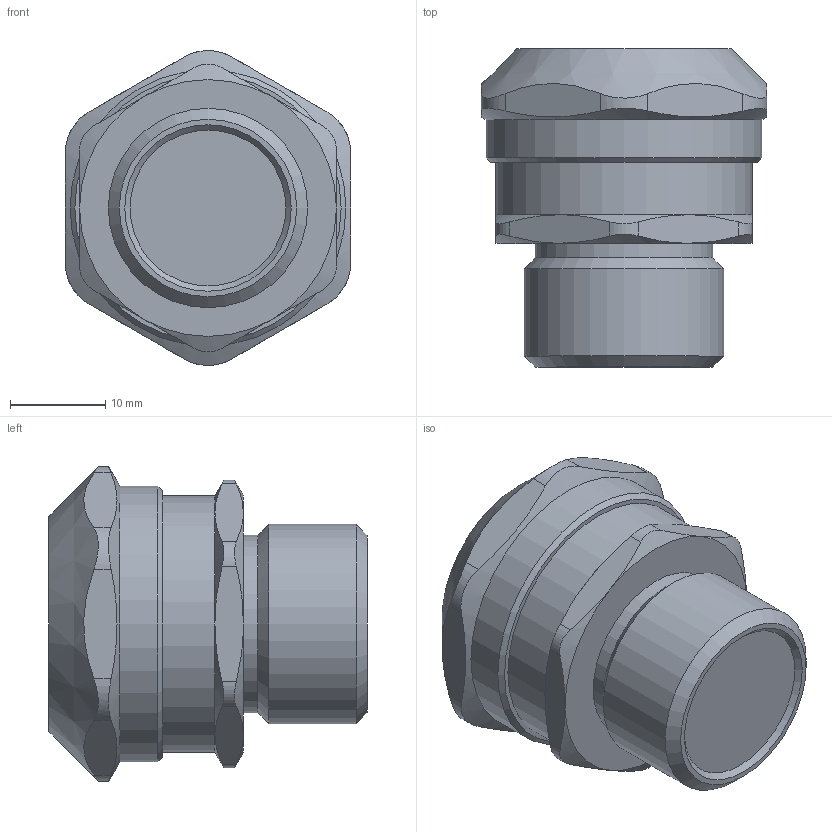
import cadquery as cq
import math


thread_radius = 20.95 / 2
thread_length = 13.0
undercut_radius = 18.64 / 2
undercut_length = 1.5
thread_chamfer = thread_radius - undercut_radius

body_hex_flats = 27.0
body_hex_length = 3.0
body_hex_corner_fillet = 3.0
body_radius = body_hex_flats / 2

collar_radius = 29.0 / 2
collar_start = 8.5
collar_chamfer = 0.5
cap_hex_flats = 30.0
cap_hex_start = 13.0
cap_hex_corner_fillet = 5.0
cap_end = 20.45
cap_end_radius = 11.35
cap_cone_angle = 45.0

hex_chamfer_angle = 30.0

front_recess_radius = 8.75
rear_bore_radius = 10.5
recess_depth = 0.55


def revolve_about_y(profile):
    """Turn a list of (radius, y) points into a solid around the Y axis."""
    return cq.Workplane("XY").polyline(profile).close().revolve(360, (0, 0, 0), (0, 1, 0))


def hex_corner_radius(flats):
    """Distance from the axis to a sharp corner of a hexagon."""
    return flats / math.sqrt(3)


def hex_prism(flats, corner_fillet, start, end):
    """Round-cornered hexagonal bar along Y with two of its flats facing +X and -X."""
    across_corners = 2 * hex_corner_radius(flats)
    return (
        cq.Workplane("XZ", origin=(0, end, 0))
        .transformed(rotate=(0, 0, 90))
        .polygon(6, across_corners)
        .extrude(end - start)
        .edges("|Y")
        .fillet(corner_fillet)
    )


def cone_rise(radial_distance, angle):
    """Axial length of a cone that widens by radial_distance, at an angle from the end plane."""
    return radial_distance * math.tan(math.radians(angle))


def make_spigot():
    return revolve_about_y([
        (0, -thread_length),
        (thread_radius - thread_chamfer, -thread_length),
        (thread_radius, -thread_length + thread_chamfer),
        (thread_radius, -undercut_length - thread_chamfer),
        (undercut_radius, -undercut_length),
        (undercut_radius, 0),
        (0, 0),
    ])


def make_body_hex():
    outer_radius = hex_corner_radius(body_hex_flats)
    rise = cone_rise(outer_radius - body_radius, hex_chamfer_angle)
    envelope = revolve_about_y([
        (0, 0),
        (body_radius, 0),
        (outer_radius, rise),
        (outer_radius, body_hex_length - rise),
        (body_radius, body_hex_length),
        (0, body_hex_length),
    ])
    return hex_prism(body_hex_flats, body_hex_corner_fillet, 0, body_hex_length).intersect(envelope)


def make_barrel():
    return revolve_about_y([
        (0, body_hex_length),
        (body_radius, body_hex_length),
        (body_radius, collar_start),
        (collar_radius - collar_chamfer, collar_start),
        (collar_radius, collar_start + collar_chamfer),
        (collar_radius, cap_hex_start),
        (0, cap_hex_start),
    ])


def make_cap():
    outer_radius = hex_corner_radius(cap_hex_flats)
    front_rise = cone_rise(outer_radius - collar_radius, hex_chamfer_angle)
    rear_rise = cone_rise(outer_radius - cap_end_radius, cap_cone_angle)
    envelope = revolve_about_y([
        (0, cap_hex_start),
        (collar_radius, cap_hex_start),
        (outer_radius, cap_hex_start + front_rise),
        (outer_radius, cap_end - rear_rise),
        (cap_end_radius, cap_end),
        (0, cap_end),
    ])
    return hex_prism(cap_hex_flats, cap_hex_corner_fillet, cap_hex_start, cap_end).intersect(envelope)


def make_front_recess():
    """Cutter with a 45-degree wall that narrows from the thread end to a flat floor."""
    face = -thread_length
    floor = face + recess_depth
    floor_radius = front_recess_radius - recess_depth
    return revolve_about_y([(0, face), (front_recess_radius, face), (floor_radius, floor), (0, floor)])


def make_rear_recess():
    """Cutter whose wall is a quarter round, flaring from the bore out to the rear face."""
    floor = cap_end - recess_depth
    mouth_radius = rear_bore_radius + recess_depth
    arc_middle = (
        mouth_radius - recess_depth * math.cos(math.radians(45)),
        floor + recess_depth * math.sin(math.radians(45)),
    )
    return (
        cq.Workplane("XY")
        .moveTo(0, floor)
        .lineTo(rear_bore_radius, floor)
        .threePointArc(arc_middle, (mouth_radius, cap_end))
        .lineTo(0, cap_end)
        .close()
        .revolve(360, (0, 0, 0), (0, 1, 0))
    )


result = make_spigot().union(make_body_hex()).union(make_barrel()).union(make_cap())
result = result.cut(make_front_recess()).cut(make_rear_recess())